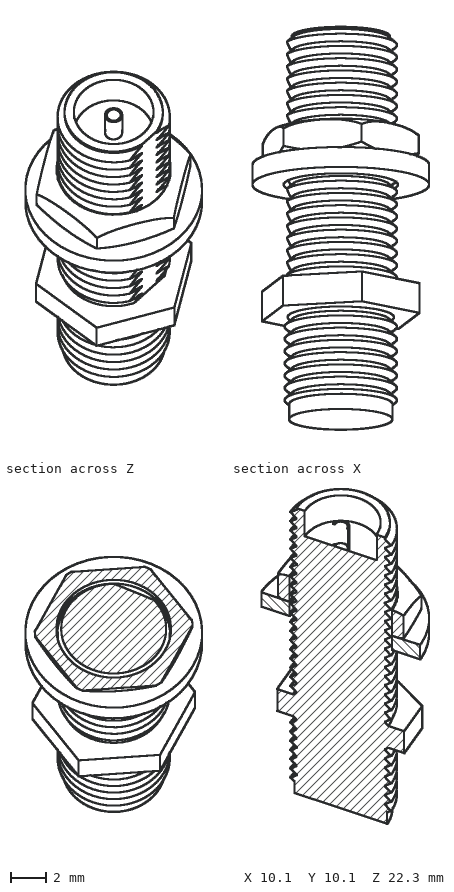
import cadquery as cq
import math

total_length = 22.3
crest_radius = 3.21
root_radius = 2.8
thread_pitch = 0.71
lead_land = 0.13
ridge_count = 30
tail_diameter = 5.9
flat_offset = 2.75

flange_corners = 9.32
flange_bottom = 5.95
flange_top = 7.7

socket_radius = 2.27
socket_depth = 1.98
contact_radius = 0.5
contact_bore_radius = 0.4
contact_recess = 0.31

washer_diameter = 10.1
washer_bottom = 13.67
washer_thickness = 1.15
fit_radius = 3.25

nut_bottom = washer_bottom + washer_thickness
nut_thickness = 1.98
nut_corners = 9.23
nut_bevel_radius = 3.85
nut_bevel_angle = 30.0
crown_radius = 2.05


def threaded_bar():
    """Full-length bar with ring-shaped thread ridges, turned about Z."""
    first_root = total_length - lead_land
    profile = (
        cq.Workplane("XZ")
        .moveTo(0, total_length)
        .lineTo(root_radius, total_length)
        .lineTo(root_radius, first_root)
    )
    for ridge in range(ridge_count):
        ridge_top = first_root - ridge * thread_pitch
        profile = profile.lineTo(crest_radius, ridge_top - thread_pitch / 2)
        profile = profile.lineTo(root_radius, ridge_top - thread_pitch)
    profile = profile.lineTo(root_radius, 0).lineTo(0, 0).close()
    return profile.revolve(360, (0, 0, 0), (0, 1, 0))


def hexagon(corners, bottom, height):
    """Hexagonal prism with two corners on the X axis."""
    return cq.Workplane("XY").workplane(offset=bottom).polygon(6, corners).extrude(height)


def cylinder(radius, bottom, height):
    return cq.Workplane("XY").workplane(offset=bottom).circle(radius).extrude(height)


def make_connector():
    body = threaded_bar()

    flat_cutter = (
        cq.Workplane("XY")
        .workplane(offset=flange_top)
        .center(flat_offset, 0)
        .rect(crest_radius, 2 * crest_radius)
        .extrude(total_length - flange_top)
        .translate((crest_radius / 2, 0, 0))
    )
    body = body.cut(flat_cutter)

    lowest_crest = total_length - lead_land - (ridge_count - 0.5) * thread_pitch
    body = body.union(cylinder(tail_diameter / 2, 0, lowest_crest))
    body = body.union(hexagon(flange_corners, flange_bottom, flange_top - flange_bottom))

    socket_floor = total_length - socket_depth
    contact_length = socket_depth - contact_recess
    body = body.cut(cylinder(socket_radius, socket_floor, socket_depth))
    contact = cylinder(contact_radius, socket_floor, contact_length)
    body = body.union(contact)
    return body.cut(cylinder(contact_bore_radius, socket_floor, contact_length))


def make_washer():
    disc = cylinder(washer_diameter / 2, washer_bottom, washer_thickness)
    return disc.cut(cylinder(fit_radius, washer_bottom, washer_thickness))


def make_nut():
    """Hexagon trimmed by a turned shape: bevelled below, arc-crowned above."""
    nut_top = nut_bottom + nut_thickness
    corner_radius = nut_corners / 2
    bevel_height = (corner_radius - nut_bevel_radius) * math.tan(math.radians(nut_bevel_angle))

    crown_sweep = math.asin((corner_radius - fit_radius) / crown_radius)
    crown_drop = crown_radius * (1 - math.cos(crown_sweep))
    middle_radius = fit_radius + crown_radius * math.sin(crown_sweep / 2)
    middle_drop = crown_radius * (1 - math.cos(crown_sweep / 2))

    envelope = (
        cq.Workplane("XZ")
        .moveTo(fit_radius, nut_bottom)
        .lineTo(nut_bevel_radius, nut_bottom)
        .lineTo(corner_radius, nut_bottom + bevel_height)
        .lineTo(corner_radius, nut_top - crown_drop)
        .threePointArc((middle_radius, nut_top - middle_drop), (fit_radius, nut_top))
        .close()
        .revolve(360, (0, 0, 0), (0, 1, 0))
    )
    return hexagon(nut_corners, nut_bottom, nut_thickness).intersect(envelope)


connector = make_connector()
washer = make_washer()
nut = make_nut()

result = cq.Compound.makeCompound([connector.val(), washer.val(), nut.val()])